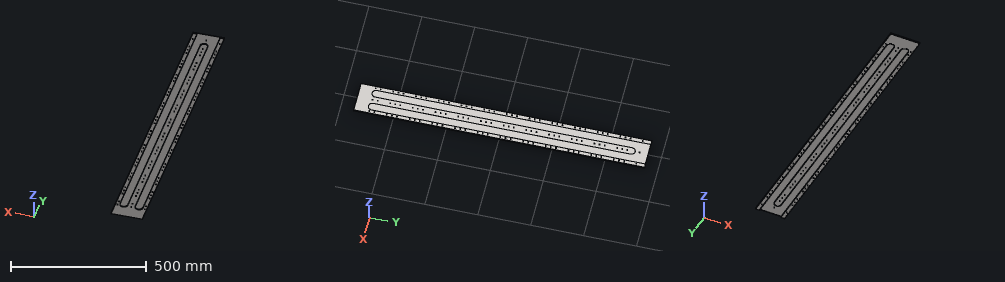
import cadquery as cq
LENGTH = 1100.0
WIDTH = 120.0
THICKNESS = 6.4

HOLE_DIAMETER = 2.4
COLUMN_OFFSET = 52.0
FIRST_ROW = 33.0
FIRST_GROUP = 79.0
GROUP_PITCH = 86.0
GROUP_COUNT = 12
ROWS_PER_GROUP = 3
GROUP_SPAN = 38.0
ROW_PITCH = GROUP_SPAN / (ROWS_PER_GROUP - 1)

CHANNEL_ROOF = 2.1
CHANNEL_DEPTH = THICKNESS - CHANNEL_ROOF
RIB_WIDTH = 29.0
CHANNEL_OUTER_WIDTH = 88.0
CHANNEL_WIDTH = (CHANNEL_OUTER_WIDTH - RIB_WIDTH) / 2
CHANNEL_OFFSET = (RIB_WIDTH + CHANNEL_WIDTH) / 2
CHANNEL_END = -500.0
RIB_END = 500.0


def hole_places():
    """Centres of all holes; the last group lacks its third row."""
    rows = [FIRST_ROW]
    for group in range(GROUP_COUNT):
        for row in range(ROWS_PER_GROUP):
            rows.append(FIRST_GROUP + group * GROUP_PITCH + row * ROW_PITCH)
    rows.pop()
    columns = (-COLUMN_OFFSET, 0, COLUMN_OFFSET)
    return [(x, LENGTH / 2 - row) for row in rows for x in columns]


def rounded_bar(x, width, y_start, y_end):
    """Bar along Y with round ends, as deep as the channels, standing on the underside."""
    length = y_end - y_start
    return (
        cq.Workplane("XY", origin=(x, (y_start + y_end) / 2, -THICKNESS / 2))
        .slot2D(length, width, 90)
        .extrude(CHANNEL_DEPTH)
    )


def channels():
    """Hollow that is round-ended in each channel at -Y, and open at the +Y end of the plate."""
    straight_end = CHANNEL_END + CHANNEL_WIDTH / 2
    hollow_length = LENGTH / 2 - straight_end
    hollow = (
        cq.Workplane("XY", origin=(0, straight_end + hollow_length / 2, -THICKNESS / 2))
        .rect(CHANNEL_OUTER_WIDTH, hollow_length)
        .extrude(CHANNEL_DEPTH)
    )
    hollow = hollow.cut(rounded_bar(0, RIB_WIDTH, -LENGTH / 2, RIB_END))
    for side in (-1, 1):
        x = side * CHANNEL_OFFSET
        hollow = hollow.union(rounded_bar(x, CHANNEL_WIDTH, CHANNEL_END, 0))
    return hollow


plate = cq.Workplane("XY").box(WIDTH, LENGTH, THICKNESS)
plate = plate.faces(">Z").workplane().pushPoints(hole_places()).hole(HOLE_DIAMETER)
result = plate.cut(channels())